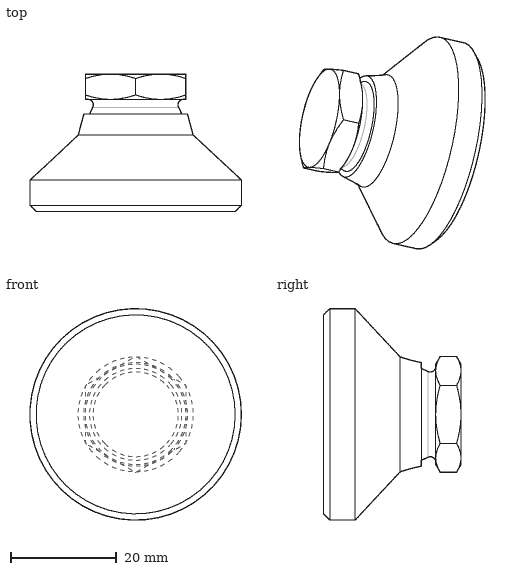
import cadquery as cq
import math


foot_diameter = 40.0
foot_chamfer = 1.2
rim_top = 6.0
collar_base = 14.5
collar_top = 18.5
collar_top_radius = 9.8
collar_taper = 15.0
collar_base_radius = collar_top_radius + (collar_top - collar_base) * math.tan(math.radians(collar_taper))

ball_radius = 18.5 / 2
ball_center = 15.35
neck_fillet = 1.0

hex_sides = 6
overall_length = 26.0
hex_height = 4.8
hex_across_flats = 19.0
hex_chamfer_angle = 30.0
hex_base = overall_length - hex_height


def ball_radius_at(height):
    """Radius of the ball's circular section at a height along Y."""
    return math.sqrt(ball_radius**2 - (height - ball_center) ** 2)


def revolve_about_y(profile):
    """Turn a closed XY profile a full revolution about the Y axis."""
    return profile.close().revolve(360, (0, 0, 0), (0, 1, 0))


def make_foot():
    """Chamfered rim, conical flank and tapered collar."""
    foot_radius = foot_diameter / 2
    profile = (
        cq.Workplane("XY")
        .lineTo(foot_radius - foot_chamfer, 0)
        .lineTo(foot_radius, foot_chamfer)
        .lineTo(foot_radius, rim_top)
        .lineTo(collar_base_radius, collar_base)
        .lineTo(collar_top_radius, collar_top)
        .lineTo(0, collar_top)
    )
    return revolve_about_y(profile)


def make_ball_and_neck():
    """Exposed zone of the ball and the fillet that blends it into the underside of the hexagon."""
    center_distance = ball_radius + neck_fillet
    center_height = hex_base - neck_fillet
    center_rise = center_height - ball_center
    center_radius = math.sqrt(center_distance**2 - center_rise**2)
    ball_end = ball_center + center_rise * ball_radius / center_distance
    ball_middle = (collar_top + ball_end) / 2
    profile = (
        cq.Workplane("XY")
        .moveTo(0, collar_top)
        .lineTo(ball_radius_at(collar_top), collar_top)
        .threePointArc((ball_radius_at(ball_middle), ball_middle), (ball_radius_at(ball_end), ball_end))
        .threePointArc((center_radius - neck_fillet, center_height), (center_radius, hex_base))
        .lineTo(0, hex_base)
    )
    return revolve_about_y(profile)


def make_hexagon():
    """Hexagon with two flats facing +X and -X, its corners turned conical at both ends."""
    flat_radius = hex_across_flats / 2
    half_side_angle = 180 / hex_sides
    corner_radius = flat_radius / math.cos(math.radians(half_side_angle))
    chamfer_height = (corner_radius - flat_radius) * math.tan(math.radians(hex_chamfer_angle))
    prism = (
        cq.Workplane("XZ", origin=(0, hex_base, 0))
        .polygon(hex_sides, 2 * corner_radius)
        .extrude(-hex_height)
        .rotate((0, 0, 0), (0, 1, 0), half_side_angle)
    )
    envelope = (
        cq.Workplane("XY")
        .moveTo(0, hex_base)
        .lineTo(flat_radius, hex_base)
        .lineTo(corner_radius, hex_base + chamfer_height)
        .lineTo(corner_radius, overall_length - chamfer_height)
        .lineTo(flat_radius, overall_length)
        .lineTo(0, overall_length)
    )
    return prism.intersect(revolve_about_y(envelope))


result = make_foot().union(make_ball_and_neck()).union(make_hexagon())